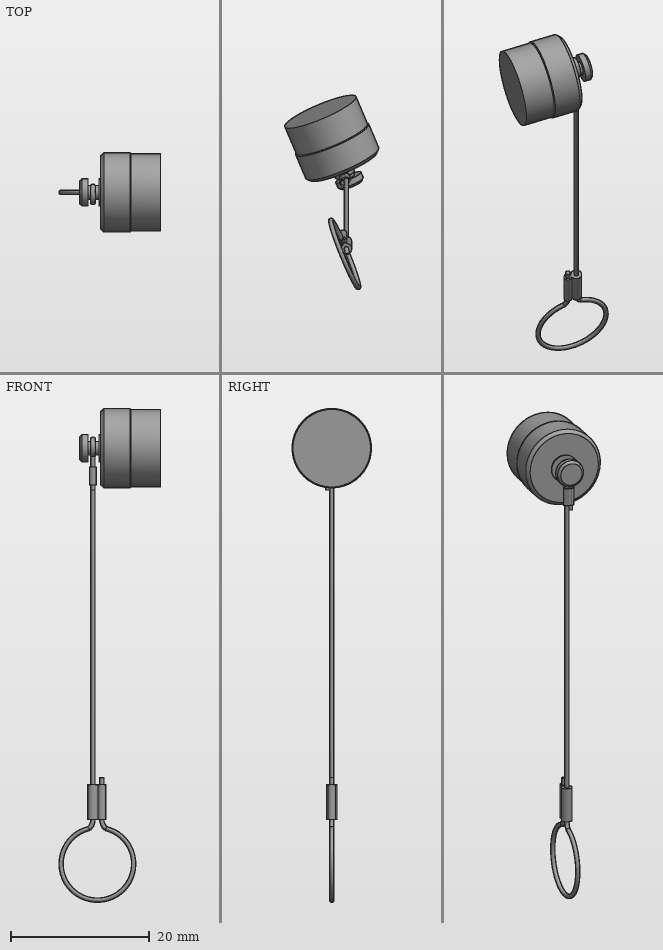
import cadquery as cq
import math


cap_diameter = 11.5
rear_diameter = 11.2
cap_face_x = 1.1
cap_step_x = 5.5
cap_end_x = 9.75
cap_chamfer = 0.5
step_chamfer = 0.15

knob_diameter = 4.0
knob_start_x = -1.9
knob_end_x = -0.7
knob_chamfer = 0.35
post_diameter = 2.0
washer_thickness = 0.2

wire_diameter = 0.65
wire_radius = wire_diameter / 2

tail_y = -0.6
eye_y = tail_y / 2
eye_z = 0.15
eye_radius = 1.15
eye_wire_radius = 0.35
sleeve_radius = 0.5
sleeve_top = -2.7
sleeve_bottom = -5.3
neck_top = -1.15
tail_end_z = -6.05

strand_spacing = 1.3
wire_ferrule_radius = 0.8
tail_ferrule_radius = 0.6
ferrule_top = -48.5
ferrule_bottom = -53.6
loop_tail_top = -47.5

loop_x = strand_spacing / 2
overall_width = 14.7
overall_height = 71.25
loop_outer_radius = loop_x - (cap_end_x - overall_width)
loop_radius = loop_outer_radius - wire_radius
loop_z = cap_diameter / 2 - overall_height + loop_outer_radius
loop_gap_half = 1.2
ring_end_z = loop_z + math.sqrt(loop_radius**2 - loop_gap_half**2)


def rod(radius, start, end):
    """Round bar between two points."""
    start_point = cq.Vector(*start)
    axis = cq.Vector(*end) - start_point
    return cq.Workplane(cq.Solid.makeCylinder(radius, axis.Length, start_point, axis))


def vertical_rod(radius, x, y, top, bottom):
    return rod(radius, (x, y, bottom), (x, y, top))


def disc(diameter, start_x, end_x):
    """Round disc on the cap axis."""
    return rod(diameter / 2, (start_x, 0, 0), (end_x, 0, 0))


def make_cap():
    front = disc(cap_diameter, cap_face_x, cap_step_x)
    front = front.faces("<X").chamfer(cap_chamfer)
    front = front.faces(">X").chamfer(step_chamfer)
    return front.union(disc(rear_diameter, cap_step_x, cap_end_x))


def make_knob():
    knob = disc(knob_diameter, knob_start_x, knob_end_x).faces("<X").chamfer(knob_chamfer)
    post = disc(post_diameter, knob_end_x, cap_face_x)
    washer = disc(knob_diameter, cap_face_x - washer_thickness, cap_face_x)
    return knob.union(post).union(washer)


def make_eye():
    """Ring around the post, with its free end leaving through the sleeve."""
    ring = cq.Solid.makeTorus(eye_radius, eye_wire_radius, cq.Vector(0, eye_y, eye_z), cq.Vector(1, 0, 0))
    tail = vertical_rod(wire_radius, 0, tail_y, neck_top, tail_end_z)
    sleeve = (
        cq.Workplane("XY", origin=(0, eye_y, sleeve_bottom))
        .slot2D(2 * sleeve_radius - tail_y, 2 * sleeve_radius, 90)
        .extrude(sleeve_top - sleeve_bottom)
    )
    return tail.union(sleeve).union(cq.Workplane(ring))


def make_ferrule():
    """Two joined tubes that hold both strands of the wire."""
    wire_tube = vertical_rod(wire_ferrule_radius, 0, 0, ferrule_top, ferrule_bottom)
    tail_tube = vertical_rod(tail_ferrule_radius, strand_spacing, 0, ferrule_top, ferrule_bottom)
    return wire_tube.union(tail_tube)


def make_strand(strand_x, top, ring_end_x):
    """Straight wire that bends outward below the ferrule to reach one end of the ring."""
    path = (
        cq.Workplane("XZ")
        .moveTo(strand_x, top)
        .lineTo(strand_x, ferrule_bottom)
        .tangentArcPoint((ring_end_x, ring_end_z), relative=False)
    )
    return cq.Workplane("XY", origin=(strand_x, 0, top)).circle(wire_radius).sweep(path)


def make_ring():
    """Large ring, open at the top."""
    path = (
        cq.Workplane("XZ")
        .moveTo(loop_x - loop_gap_half, ring_end_z)
        .threePointArc((loop_x, loop_z - loop_radius), (loop_x + loop_gap_half, ring_end_z))
    )
    start_plane = cq.Plane(
        origin=(loop_x - loop_gap_half, 0, ring_end_z),
        xDir=(0, 1, 0),
        normal=(loop_z - ring_end_z, 0, -loop_gap_half),
    )
    return cq.Workplane(start_plane).circle(wire_radius).sweep(path)


result = make_cap().union(make_knob()).union(make_eye())
result = result.union(make_strand(0, neck_top, loop_x - loop_gap_half))
result = result.union(make_strand(strand_spacing, loop_tail_top, loop_x + loop_gap_half))
result = result.union(make_ferrule()).union(make_ring())